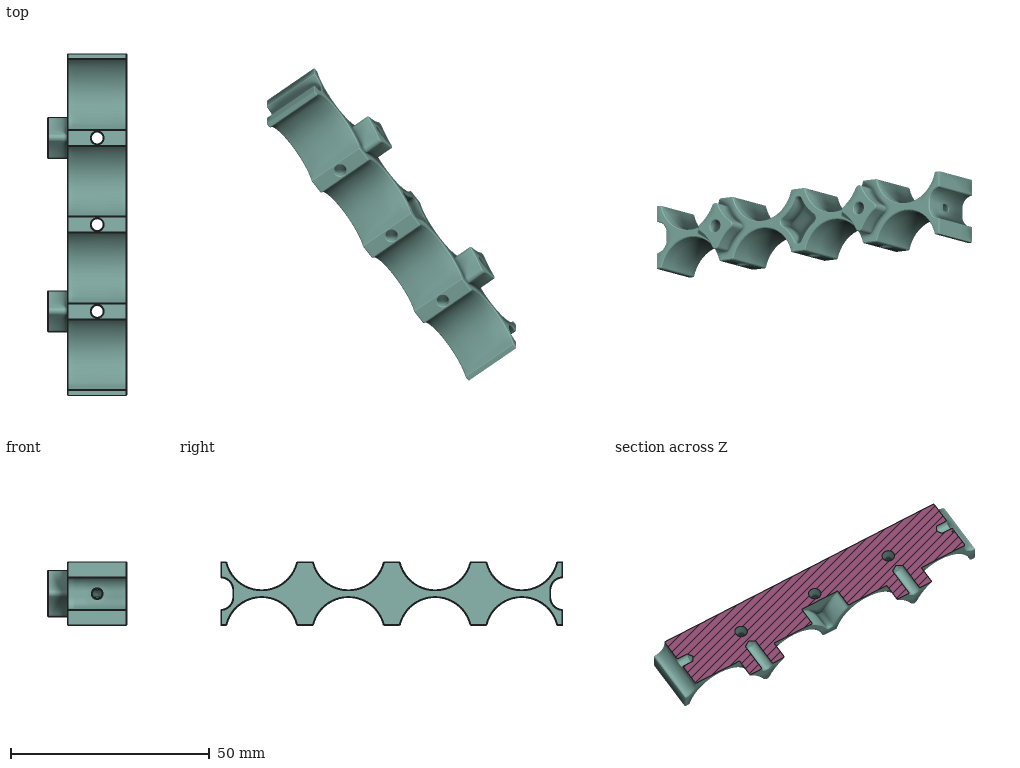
import cadquery as cq
import math

body_length = 85.9
body_height = 16.0
body_depth = 15.0
bay_count = 4
bay_pitch = 21.8
bay_radius = 9.05
web_thickness = 1.9
edge_chamfer = 0.2

peg_length = 5.0
peg_wall_gap = 2.0
peg_tip_radius = 1.0
socket_clearance = 0.1
socket_depth = peg_length + socket_clearance

recess_depth = 3.0
recess_height = 8.0
recess_corner_radius = 3.1

post_hole_diameter = 3.0
peg_hole_diameter = 3.0
peg_hole_depth = 8.0
end_hole_diameter = 2.5
end_hole_depth = 3.0
hole_chamfer = 0.2
drill_tip_angle = 118.0

body_middle_x = body_depth / 2
bay_center_z = web_thickness / 2 + bay_radius
bay_centers_y = [(i - (bay_count - 1) / 2) * bay_pitch for i in range(bay_count)]
bay_centers = [(y, side * bay_center_z) for y in bay_centers_y for side in (-1, 1)]
outer_posts_y = (-bay_pitch, bay_pitch)
posts_y = (-bay_pitch, 0, bay_pitch)


def end_recess_cutter(side):
    """Channel along X across one end of the bar, with rounded inner corners."""
    floor_y = body_length / 2 - recess_depth
    cutter_length = recess_depth + recess_corner_radius
    return (
        cq.Workplane("YZ")
        .center(side * (floor_y + cutter_length / 2), 0)
        .rect(cutter_length, recess_height)
        .extrude(body_depth)
        .edges("|X")
        .edges("<Y" if side > 0 else ">Y")
        .fillet(recess_corner_radius)
    )


def make_body():
    """Scooped bar with recessed ends; bay ridges, recess mouths and both X faces are chamfered."""
    body = cq.Workplane("YZ").rect(body_length, body_height).extrude(body_depth)
    bays = cq.Workplane("YZ").pushPoints(bay_centers).circle(bay_radius).extrude(body_depth)
    body = body.cut(bays)
    for side in (-1, 1):
        body = body.cut(end_recess_cutter(side))
    bay_ridges = body.faces("<Z or >Z").edges("|X").edges("not (<Y or >Y)")
    body = bay_ridges.chamfer(edge_chamfer)
    recess_mouths = body.faces("<Y or >Y").edges("|X").edges("not (<Z or >Z)")
    body = recess_mouths.chamfer(edge_chamfer)
    return body.faces("<X or >X").chamfer(edge_chamfer)


def star_prism(length, growth=0.0):
    """Four-pointed star extruded along X, offset outwards by growth.

    Its flanks are concentric with the bays around a post and its rounded tips are tangent to them.
    """
    flank_radius = bay_radius + peg_wall_gap - growth
    tip_radius = peg_tip_radius + growth
    flank_y = bay_pitch / 2
    flank_z = bay_center_z
    side_tip_y = flank_y - math.sqrt((flank_radius + tip_radius) ** 2 - flank_z**2)
    top_tip_z = flank_z - math.sqrt((flank_radius + tip_radius) ** 2 - flank_y**2)
    tangent_share = tip_radius / (flank_radius + tip_radius)

    side_y = side_tip_y + tangent_share * (flank_y - side_tip_y)
    side_z = tangent_share * flank_z
    top_y = tangent_share * flank_y
    top_z = top_tip_z + tangent_share * (flank_z - top_tip_z)
    flank_distance = math.hypot(flank_y, flank_z)
    middle_share = 1 - flank_radius / flank_distance
    middle_y = middle_share * flank_y
    middle_z = middle_share * flank_z
    return (
        cq.Workplane("YZ")
        .moveTo(side_y, side_z)
        .threePointArc((middle_y, middle_z), (top_y, top_z))
        .threePointArc((0, top_tip_z + tip_radius), (-top_y, top_z))
        .threePointArc((-middle_y, middle_z), (-side_y, side_z))
        .threePointArc((-side_tip_y - tip_radius, 0), (-side_y, -side_z))
        .threePointArc((-middle_y, -middle_z), (-top_y, -top_z))
        .threePointArc((0, -top_tip_z - tip_radius), (top_y, -top_z))
        .threePointArc((middle_y, -middle_z), (side_y, -side_z))
        .threePointArc((side_tip_y + tip_radius, 0), (side_y, side_z))
        .close()
        .extrude(length)
    )


def make_peg(y):
    """Star peg standing out of the -X face, chamfered at its free end."""
    peg = star_prism(peg_length).translate((-peg_length, y, 0))
    return peg.faces("<X").chamfer(edge_chamfer)


def through_hole_cutter(diameter, length):
    """Hole along +Z from the origin, chamfered at both mouths."""
    radius = diameter / 2
    mouth_radius = radius + hole_chamfer
    profile = [
        (0, 0),
        (mouth_radius, 0),
        (radius, hole_chamfer),
        (radius, length - hole_chamfer),
        (mouth_radius, length),
        (0, length),
    ]
    return cq.Workplane("XZ").polyline(profile).close().revolve(360, (0, 0), (0, 1))


def blind_hole_cutter(diameter, depth):
    """Hole along +Z from the origin with a chamfered mouth and a drill-point bottom."""
    radius = diameter / 2
    tip_height = radius / math.tan(math.radians(drill_tip_angle / 2))
    profile = [
        (0, 0),
        (radius + hole_chamfer, 0),
        (radius, hole_chamfer),
        (radius, depth),
        (0, depth + tip_height),
    ]
    return cq.Workplane("XZ").polyline(profile).close().revolve(360, (0, 0), (0, 1))


def post_hole(y):
    """Vertical screw hole right through a post."""
    hole = through_hole_cutter(post_hole_diameter, body_height)
    return hole.translate((body_middle_x, y, -body_height / 2))


def peg_hole(y):
    """Blind hole along +X into the free end of a peg."""
    hole = blind_hole_cutter(peg_hole_diameter, peg_hole_depth)
    return hole.rotate((0, 0, 0), (0, 1, 0), 90).translate((-peg_length, y, 0))


def end_hole(side):
    """Blind hole along Y into the floor of an end recess."""
    hole = blind_hole_cutter(end_hole_diameter, end_hole_depth)
    recess_floor_y = body_length / 2 - recess_depth
    inward = hole.rotate((0, 0, 0), (1, 0, 0), side * 90)
    return inward.translate((body_middle_x, side * recess_floor_y, 0))


def make_socket():
    """Star pocket entered from the -X face, with a chamfered mouth."""
    pocket = star_prism(socket_depth, socket_clearance)
    mouth = star_prism(2 * edge_chamfer, socket_clearance + edge_chamfer).faces(">X").chamfer(edge_chamfer)
    return pocket.union(mouth.translate((-edge_chamfer, 0, 0)))


result = make_body()
for post_y in outer_posts_y:
    result = result.union(make_peg(post_y))
result = result.cut(make_socket())
for post_y in posts_y:
    result = result.cut(post_hole(post_y))
for post_y in outer_posts_y:
    result = result.cut(peg_hole(post_y))
for end_side in (-1, 1):
    result = result.cut(end_hole(end_side))